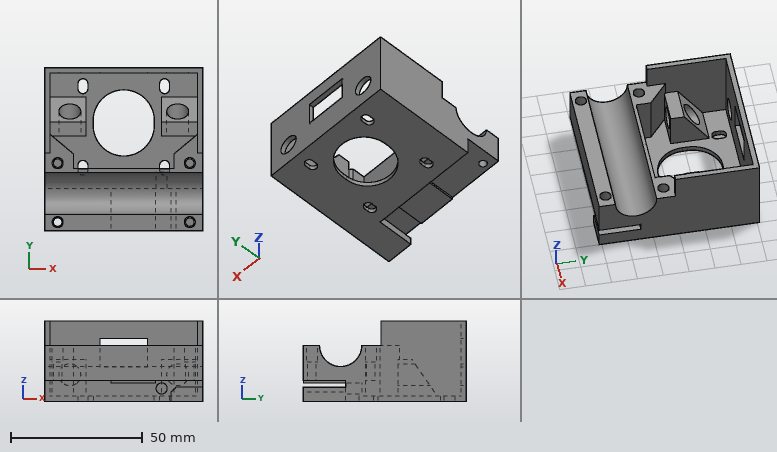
import cadquery as cq

width = 60.0
length = 61.95
height = 30.55
wall = 2.1
floor_thickness = 2.1
deck_height = 21.25
side_wall_front = 29.5

cavity_front = 23.6
cavity_throat_width = 38.2
throat_back = 29.25
gusset_back = 36.6

trough_diameter = 15.9
trough_y = 14.25

screw_spacing_x = 50.1
screw_rows_y = (3.35, 25.7)
insert_diameter = 4.2
insert_depth = 6.2
screw_diameter = 3.2

undercut_length = 16.1
undercut_height = 8.05
foot_width = 12.0
foot_height = 5.45
foot_chamfer = 1.85
rib_width = 16.9
rib_height = 1.05
rib_x = 3.6
rib_setback = 0.1
blind_hole_diameter = 4.2
blind_hole_depth = 6.2
blind_hole_x = 14.4
blind_hole_z = 4.95

motor_bolt_spacing = 31.0
motor_y = 39.4
bolt_slot_width = 3.7
bolt_slot_length = 5.6
bore_width = 23.1
bore_length = 25.0
bore_y = 40.95

block_width = 13.5
block_height = 13.9
block_front = 36.0
block_top_back = 41.25
block_back = 50.85
rod_diameter = 8.3
rod_spacing = 40.9
rod_z = 10.15

window_width = 17.95
window_bottom = 13.0
window_top = 23.85

inner_half_width = width / 2 - wall
sides = (-1, 1)
along_y = 90


def box(x_min, x_max, y_min, y_max, z_min, z_max):
    """Box given by its limits along each axis."""
    size = (x_max - x_min, y_max - y_min, z_max - z_min)
    return cq.Workplane("XY").box(*size, centered=False).translate((x_min, y_min, z_min))


def y_cylinder(diameter, x, z, y_min, y_max):
    """Cylinder running along Y."""
    plane = cq.Workplane("XZ", origin=(x, y_min, z))
    return plane.circle(diameter / 2).extrude(y_min - y_max)


def make_shell():
    """Side profile across the full width, hollowed by the stepped cavity."""
    profile = [
        (0, 0),
        (length, 0),
        (length, height),
        (side_wall_front, height),
        (side_wall_front, deck_height),
        (0, deck_height),
    ]
    body = cq.Workplane("YZ").polyline(profile).close().extrude(width / 2, both=True)

    half_throat = cavity_throat_width / 2
    outline = [
        (-half_throat, cavity_front),
        (half_throat, cavity_front),
        (half_throat, throat_back),
        (inner_half_width, gusset_back),
        (inner_half_width, length - wall),
        (-inner_half_width, length - wall),
        (-inner_half_width, gusset_back),
        (-half_throat, throat_back),
    ]
    cavity_plane = cq.Workplane("XY").workplane(offset=floor_thickness)
    cavity = cavity_plane.polyline(outline).close().extrude(height)

    above_deck = box(-inner_half_width, inner_half_width, 0, length - wall, deck_height, height)
    return body.cut(cavity).cut(above_deck)


def make_trough():
    plane = cq.Workplane("YZ", origin=(-width / 2, trough_y, deck_height))
    return plane.circle(trough_diameter / 2).extrude(width)


def make_undercut():
    """Space below the trough, leaving a foot at one end and a rib under the roof."""
    undercut = box(-width / 2, width / 2, 0, undercut_length, 0, undercut_height)
    foot = box(width / 2 - foot_width, width / 2, 0, undercut_length, 0, foot_height)
    foot = foot.edges("|Y and <X and >Z").chamfer(foot_chamfer)
    rib = box(
        rib_x - rib_width / 2,
        rib_x + rib_width / 2,
        rib_setback,
        undercut_length,
        undercut_height - rib_height,
        undercut_height,
    )
    return undercut.cut(foot).cut(rib)


def make_screw_holes():
    """Stepped holes from the deck down to the level of the undercut roof."""
    points = [(side * screw_spacing_x / 2, y) for side in sides for y in screw_rows_y]
    deck = cq.Workplane("XY").workplane(offset=deck_height).pushPoints(points)
    inserts = deck.circle(insert_diameter / 2).extrude(-insert_depth)
    screws = deck.circle(screw_diameter / 2).extrude(undercut_height - deck_height)
    return inserts.union(screws)


def make_motor_openings():
    """Central bore and four bolt slots through the floor, all elongated along Y."""
    half_spacing = motor_bolt_spacing / 2
    points = [(x * half_spacing, motor_y + y * half_spacing) for x in sides for y in sides]
    floor = cq.Workplane("XY")
    slots = floor.pushPoints(points).slot2D(bolt_slot_length, bolt_slot_width, along_y)
    slots = slots.extrude(floor_thickness)
    bore = floor.center(0, bore_y).slot2D(bore_length, bore_width, along_y)
    return slots.union(bore.extrude(floor_thickness))


def make_rod_block(side):
    """Block against a side wall with a slope falling to the floor at the back."""
    block_top = floor_thickness + block_height
    profile = [
        (block_front, floor_thickness),
        (block_back, floor_thickness),
        (block_top_back, block_top),
        (block_front, block_top),
    ]
    block = cq.Workplane("YZ").polyline(profile).close().extrude(block_width / 2, both=True)
    return block.translate((side * (inner_half_width - block_width / 2), 0, 0))


result = make_shell()
for side in sides:
    result = result.union(make_rod_block(side))

result = result.cut(make_trough())
result = result.cut(make_undercut())
result = result.cut(make_screw_holes())
result = result.cut(make_motor_openings())

for side in sides:
    result = result.cut(y_cylinder(rod_diameter, side * rod_spacing / 2, rod_z, block_front, length))

blind_hole_end = undercut_length + blind_hole_depth
result = result.cut(
    y_cylinder(blind_hole_diameter, blind_hole_x, blind_hole_z, undercut_length, blind_hole_end)
)

result = result.cut(
    box(-window_width / 2, window_width / 2, length - wall, length, window_bottom, window_top)
)